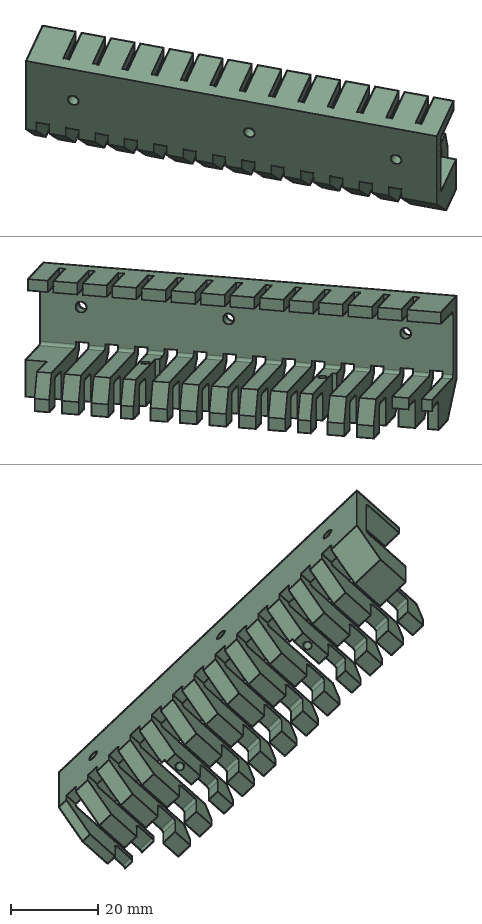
import cadquery as cq

length = 98.0
depth = 26.0
height = 27.5

wall = 3.0
flange_depth = 13.5
flange_root_thickness = 2.9
flange_tip_thickness = 2.7
base_back = 15.6
base_chamfer = 7.5
arm_top = 8.8
arm_thickness = 2.0
hook_inner = 21.1
hook_crest = 23.9
hook_step_height = 3.0
inner_radius = 0.8

slot_count = 13
pitch = length / (slot_count + 1)
bottom_slot_width = 3.0
bottom_slot_height = 10.1
first_bottom_slot = 4.0
top_slot_width = 1.4
top_slot_front = 3.4
first_top_slot = 8.6

hookless_length = 10.8
last_finger_end = 93.0

widened_slots = (3, 9)
widening = 1.0
widening_front = 7.1
base_hole_diameter = 2.0
base_hole_offset = 3.9
base_hole_y = 10.5

wall_hole_diameter = 2.5
wall_hole_height = 18.5
first_wall_hole = 11.3
wall_hole_pitches = (0, 6, 11)


def block(x_min, x_max, y_min, y_max, z_min, z_max):
    """Box given by its limits along each axis."""
    size = (x_max - x_min, y_max - y_min, z_max - z_min)
    return cq.Workplane("XY").box(*size, centered=False).translate((x_min, y_min, z_min))


def make_body():
    """Extrude the full cross-section along X and round its inner corners."""
    arm_bottom = arm_top - arm_thickness
    flange_bottom = height - flange_root_thickness
    outline = [
        (base_chamfer, 0),
        (base_back, 0),
        (base_back, arm_bottom),
        (hook_inner, arm_bottom),
        (hook_inner, 0),
        (depth, 0),
        (depth, hook_step_height),
        (hook_crest, arm_top),
        (wall, arm_top),
        (wall, flange_bottom),
        (flange_depth, height - flange_tip_thickness),
        (flange_depth, height),
        (0, height),
        (0, base_chamfer),
    ]
    body = cq.Workplane("YZ").polyline(outline).close().extrude(length)
    inner_corners = [
        (base_back, arm_bottom),
        (hook_inner, arm_bottom),
        (wall, arm_top),
        (wall, flange_bottom),
    ]
    for y, z in inner_corners:
        corner_edge = cq.selectors.NearestToPointSelector((length / 2, y, z))
        body = body.edges("|X").edges(corner_edge).fillet(inner_radius)
    return body


def cut_finger_ends(body):
    """Remove the hooks at the left end and the whole arm at the right end."""
    hooks = block(0, hookless_length, hook_inner, depth, 0, arm_top)
    arm_end = block(last_finger_end, length, base_back, depth, 0, arm_top)
    return body.cut(hooks).cut(arm_end)


def cut_slots(body):
    """Cut the bottom slots that part the fingers and the slots in the top flange."""
    slot_bottom = height - flange_root_thickness - inner_radius
    for i in range(slot_count):
        left = first_bottom_slot + i * pitch - bottom_slot_width / 2
        right = left + bottom_slot_width
        body = body.cut(block(left, right, 0, depth, 0, bottom_slot_height))
        if i in widened_slots:
            body = body.cut(block(right, right + widening, widening_front, depth, 0, bottom_slot_height))

        top_left = first_top_slot + i * pitch - top_slot_width / 2
        top_right = top_left + top_slot_width
        body = body.cut(block(top_left, top_right, top_slot_front, flange_depth, slot_bottom, height))
    return body


def cut_holes(body):
    """Drill the front wall along Y and the base along Z."""
    wall_points = [(first_wall_hole + n * pitch, wall_hole_height) for n in wall_hole_pitches]
    wall_holes = cq.Workplane("XZ").pushPoints(wall_points).circle(wall_hole_diameter / 2).extrude(-wall)
    base_points = [(first_bottom_slot + i * pitch + base_hole_offset, base_hole_y) for i in widened_slots]
    base_holes = cq.Workplane("XY").pushPoints(base_points).circle(base_hole_diameter / 2).extrude(arm_top)
    return body.cut(wall_holes).cut(base_holes)


result = cut_holes(cut_slots(cut_finger_ends(make_body()))).val()